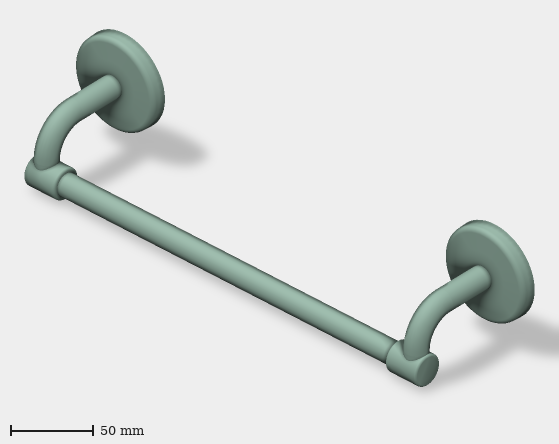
import cadquery as cq
import math

total_length = 370.8
total_depth = 81.0
total_height = 79.5

flange_diameter = 66.0
flange_side = 7.0
flange_side_taper = 0.5
flange_edge_round = 3.5
flange_edge_height = 10.5
flange_peak_height = 12.0

tube_diameter = 16.0
bend_start = 46.0
socket_diameter = 22.0
socket_outer_reach = 9.3
socket_inner_reach = 16.0
socket_edge_round = 1.5

SIN_45 = math.sqrt(0.5)

flange_radius = flange_diameter / 2
tube_radius = tube_diameter / 2
socket_radius = socket_diameter / 2
arm_x = total_length / 2 - flange_radius
bar_y = -(total_depth - socket_radius)
bar_z = -(total_height - flange_radius - socket_radius)
bend_radius = -bar_y - bend_start


def make_flange():
    """Round disc with a slightly tapered side, rounded rim and shallow conical face."""
    rim_radius = flange_radius - flange_side_taper
    face_radius = rim_radius - flange_edge_round
    round_mid = (
        face_radius + flange_edge_round * SIN_45,
        -flange_side - (flange_edge_height - flange_side) * SIN_45,
    )
    return (
        cq.Workplane("XY")
        .lineTo(flange_radius, 0)
        .lineTo(rim_radius, -flange_side)
        .threePointArc(round_mid, (face_radius, -flange_edge_height))
        .lineTo(0, -flange_peak_height)
        .close()
        .revolve(360, (0, 0, 0), (0, 1, 0))
    )


def make_arm():
    """Tube that leaves the wall, bends down a quarter turn and ends on the bar axis."""
    bend_mid = (
        -bend_start - bend_radius * SIN_45,
        -bend_radius * (1 - SIN_45),
    )
    path = (
        cq.Workplane("YZ")
        .lineTo(-bend_start, 0)
        .threePointArc(bend_mid, (bar_y, -bend_radius))
        .lineTo(bar_y, bar_z)
    )
    return cq.Workplane("XZ").circle(tube_radius).sweep(path)


def make_rod(radius, start_x, end_x):
    """Cylinder along X on the bar axis."""
    return (
        cq.Workplane("YZ", origin=(start_x, bar_y, bar_z))
        .circle(radius)
        .extrude(end_x - start_x)
    )


def make_bracket():
    """Left-hand flange, arm and socket, with the arm axis at x = 0."""
    socket = make_rod(socket_radius, -socket_outer_reach, socket_inner_reach)
    socket = socket.edges("%CIRCLE").fillet(socket_edge_round)
    return make_flange().union(make_arm()).union(socket)


left_bracket = make_bracket().translate((-arm_x, 0, 0))
right_bracket = left_bracket.mirror("YZ")
bar = make_rod(tube_radius, -arm_x, arm_x)

result = left_bracket.union(bar).union(right_bracket)